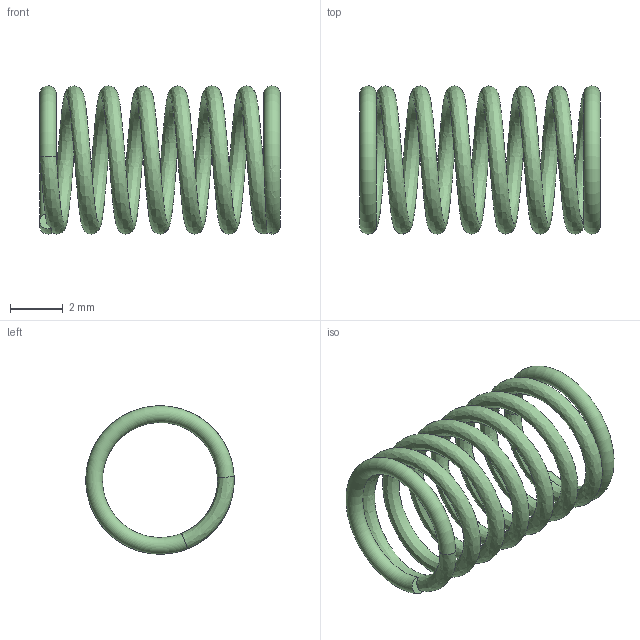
import cadquery as cq

wire_diameter = 0.63
coil_diameter = 5.0
overall_length = 9.13
active_turns = 6.5
end_coil_angle = 289.5
start_angle = 177.5

wire_radius = wire_diameter / 2
coil_radius = coil_diameter / 2
helix_length = overall_length - wire_diameter
pitch = helix_length / active_turns
helix_angle = active_turns * 360


def wire_section(axial_position):
    """Round wire section in the radial plane at angle zero."""
    return cq.Workplane("XZ").center(coil_radius, axial_position).circle(wire_radius)


def active_coils():
    """Open helical coils between the two end coils, starting at angle zero."""
    bottom = -helix_length / 2
    path = cq.Wire.makeHelix(pitch, helix_length, coil_radius, center=cq.Vector(0, 0, bottom))
    return wire_section(bottom).sweep(cq.Workplane(path), isFrenet=True).val()


def end_coil(axial_position, first_angle):
    """Flat partial ring that runs from first_angle in the positive direction of rotation."""
    axis_start = (-coil_radius, 0)
    axis_end = (-coil_radius, 1)
    ring = wire_section(axial_position).revolve(end_coil_angle, axis_start, axis_end)
    return ring.val().rotate(cq.Vector(0, 0, 0), cq.Vector(0, 0, 1), first_angle)


coils = active_coils()
first_end_coil = end_coil(-helix_length / 2, -end_coil_angle)
last_end_coil = end_coil(helix_length / 2, helix_angle)
spring = coils.fuse(first_end_coil, last_end_coil)
spring = spring.rotate(cq.Vector(0, 0, 0), cq.Vector(0, 0, 1), start_angle)

laid_along_x = spring.located(cq.Location(cq.Plane.YZ()))
result = cq.Workplane("XY").newObject([laid_along_x]).solids()